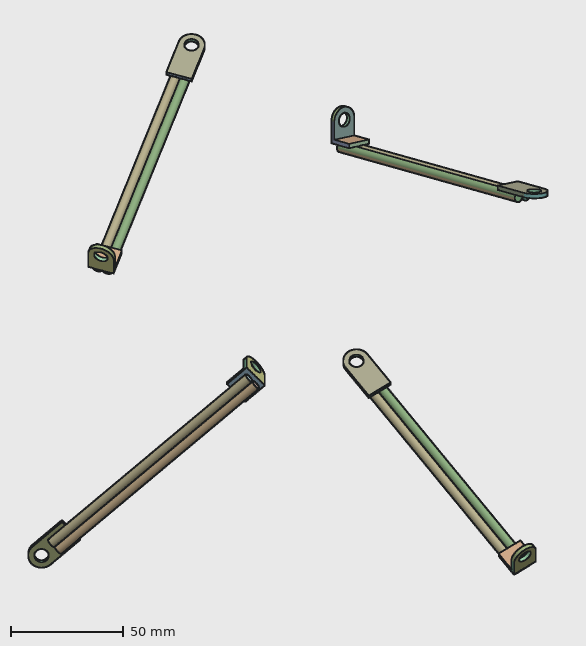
import cadquery as cq

total_length = 136.0
total_height = 20.5

plate_width = 12.0
plate_thickness = 2.0
hole_diameter = 6.4
rear_plate_length = 24.0
foot_length = 12.0

rod_diameter = 4.5
rod_embed = 0.1
rod_length = 120.0

end_radius = plate_width / 2
rod_radius = rod_diameter / 2
plate_bottom = rod_diameter - rod_embed
upright_height = total_height - plate_bottom


def eyelet_plate(length):
    """Flat plate from the origin along +Y, with a round far end and a concentric hole."""
    hole_center = length - end_radius
    outline = (
        cq.Workplane("XY")
        .moveTo(-end_radius, 0)
        .lineTo(end_radius, 0)
        .lineTo(end_radius, hole_center)
        .threePointArc((0, length), (-end_radius, hole_center))
        .close()
    )
    hole = cq.Workplane("XY").center(0, hole_center).circle(hole_diameter / 2).extrude(plate_thickness)
    return outline.extrude(plate_thickness).cut(hole)


def front_bracket():
    """L-shaped bracket: a rectangular foot and an upright eyelet plate at its front edge."""
    foot = cq.Workplane("XY").box(
        plate_width, foot_length, plate_thickness, centered=(True, False, False)
    )
    upright = (
        eyelet_plate(upright_height)
        .rotate((0, 0, 0), (1, 0, 0), 90)
        .translate((0, plate_thickness, 0))
    )
    return foot.union(upright).translate((0, 0, plate_bottom))


def rod(x):
    """Round rod along Y that starts level with the inner face of the upright."""
    return (
        cq.Workplane("XZ", origin=(x, plate_thickness, rod_radius))
        .circle(rod_radius)
        .extrude(-rod_length)
    )


rear_plate = eyelet_plate(rear_plate_length).translate(
    (0, total_length - rear_plate_length, plate_bottom)
)

result = front_bracket().union(rear_plate)
for side in (-1, 1):
    result = result.union(rod(side * rod_radius))